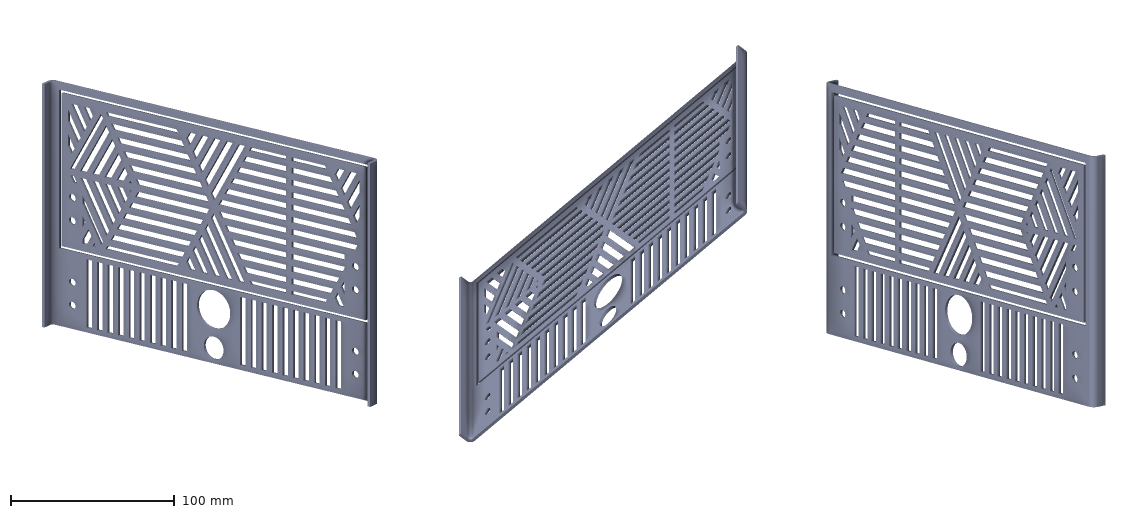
import math

import cadquery as cq

plate_width = 248.0
plate_height = 158.0
flange_depth = 10.0
sheet_thickness = 2.0
bend_inner_radius = 2.0

window_width = 233.9
window_bottom = 50.0
window_top = 153.3
panel_gap = 2.0

screw_hole_diameter = 5.0
screw_hole_x = 107.0
frame_screw_heights = [15.1, 30.0]
panel_screw_heights = [70.0, 85.0]
large_hole_diameter = 25.0
large_hole_height = 35.0
small_hole_diameter = 15.0
small_hole_height = 10.0

slot_pitch = plate_width / 31
rib_width = 4.0
slot_width = slot_pitch - rib_width

vent_count = 10
vent_first_x = 22.0
vent_bottom = 3.0
vent_top = 47.4

middle_rib_height = 101.5
grille_half_width = 110.0
grille_half_height = 44.6
screw_land_x = 99.0
screw_land_depth = 6.5
divider_x = 56.8
web_rib_x = -58.3
outer_rib_x = 112.0
lower_left_rib_x = -58.8

level_slots = range(6)
web_slots = range(6)
crossing_slots = range(5)
corner_slots = range(1, 5)
lower_left_slots = range(3)

UPRIGHT = 0
FALLING = 30
RISING = -30
LEVEL = 90
FAR = 2 * plate_width

half_rib = rib_width / 2
web_rib = web_rib_x * math.cos(math.radians(FALLING))
outer_rib = outer_rib_x * math.cos(math.radians(FALLING))
lower_left_rib = lower_left_rib_x * math.cos(math.radians(RISING))


def block(x_min, x_max, z_min, z_max):
    """Box as thick as the sheet, whose back face lies at y = 0."""
    size = (x_max - x_min, sheet_thickness, z_max - z_min)
    return cq.Workplane("XY").box(*size, centered=False).translate((x_min, -sheet_thickness, z_min))


def round_holes(places, diameter):
    """Cylinders through the sheet at (x, z) places."""
    return cq.Workplane("XZ").pushPoints(places).circle(diameter / 2).extrude(sheet_thickness)


def screw_holes(heights):
    places = [(side * screw_hole_x, height) for side in (-1, 1) for height in heights]
    return round_holes(places, screw_hole_diameter)




def bent_sheet():
    """U-shaped sheet, open at the front, top and bottom."""
    return (
        cq.Workplane("XY")
        .box(plate_width, flange_depth, plate_height, centered=(True, True, False))
        .translate((0, -flange_depth / 2, 0))
        .edges("|Z and >Y")
        .fillet(bend_inner_radius + sheet_thickness)
        .faces("<Y or >Z or <Z")
        .shell(-sheet_thickness)
    )


def make_frame():
    frame = bent_sheet()
    frame = frame.cut(block(-window_width / 2, window_width / 2, window_bottom, window_top))
    for side in (-1, 1):
        for i in range(vent_count):
            x = side * (vent_first_x + i * slot_pitch)
            frame = frame.cut(block(x - slot_width / 2, x + slot_width / 2, vent_bottom, vent_top))
    frame = frame.cut(round_holes([(0, large_hole_height)], large_hole_diameter))
    frame = frame.cut(round_holes([(0, small_hole_height)], small_hole_diameter))
    return frame.cut(screw_holes(frame_screw_heights))




def band(direction, low, high):
    """Long strip between two parallel lines at these distances from the crossing point."""
    return block(low, high, -FAR, FAR).rotate((0, 0, 0), (0, 1, 0), -direction)


def slot_field(direction, first_rib, side, numbers, bounds):
    """Parallel slots, counted from the rib at first_rib to one side of it, cut off by the bounds.

    Each slot leaves half a rib on both sides. Each bound is a band that the slots stay inside.
    """
    strips = []
    for number in numbers:
        near = first_rib + side * (number * slot_pitch + half_rib)
        far = near + side * slot_width
        strips.append(band(direction, min(near, far), max(near, far)).val())
    field = cq.Workplane(cq.Compound.makeCompound(strips))
    for bound in bounds:
        field = field.intersect(bound)
    return field


def left_level_field():
    between_ribs = band(FALLING, web_rib + half_rib, -half_rib)
    return slot_field(LEVEL, 0, 1, level_slots, [between_ribs])


def right_level_field():
    """Level slots between the crossing point and the right outer rib, split by the divider."""
    past_crossing = band(RISING, half_rib, FAR)
    inside_outer_rib = band(FALLING, -FAR, outer_rib - half_rib)
    field = slot_field(LEVEL, 0, 1, level_slots, [past_crossing, inside_outer_rib])
    return field.cut(band(UPRIGHT, divider_x - half_rib, divider_x + half_rib))


def crossing_field():
    """Sloping slots in the triangle above the crossing point."""
    return slot_field(RISING, 0, -1, crossing_slots, [band(FALLING, half_rib, FAR)])


def web_field():
    """Sloping slots between the web's inner rib and the left outer rib."""
    inside_web = band(FALLING, -FAR, web_rib - half_rib)
    inside_outer_rib = band(RISING, -outer_rib + half_rib, FAR)
    above_middle = band(LEVEL, half_rib, FAR)
    bounds = [inside_web, inside_outer_rib, above_middle]
    return slot_field(RISING, web_rib, -1, web_slots, bounds)


def right_corner_field():
    outside_outer_rib = band(FALLING, outer_rib + half_rib, FAR)
    return slot_field(RISING, outer_rib, -1, corner_slots, [outside_outer_rib])


def lower_left_corner_field():
    outside_outer_rib = band(FALLING, -FAR, -outer_rib - half_rib)
    return slot_field(RISING, lower_left_rib, -1, lower_left_slots, [outside_outer_rib])


def grille_outline():
    """Area that holds the pattern: a rectangle without the two screw lands."""
    outline = block(-grille_half_width, grille_half_width, -grille_half_height, grille_half_height)
    outline = outline.cut(block(-FAR, -screw_land_x, -FAR, -screw_land_depth))
    return outline.cut(block(screw_land_x, FAR, -FAR, -screw_land_depth))


def make_panel():
    half_width = window_width / 2 - panel_gap
    panel = block(-half_width, half_width, window_bottom + panel_gap, window_top - panel_gap)
    panel = panel.cut(screw_holes(panel_screw_heights))

    right_corner = right_corner_field()
    fields = [right_corner.mirror("YZ"), lower_left_corner_field()]
    for field in (left_level_field(), right_level_field(), crossing_field(), web_field(), right_corner):
        fields += [field, field.mirror("XY")]
    outline = grille_outline()
    for field in fields:
        panel = panel.cut(field.intersect(outline).translate((0, 0, middle_rib_height)))
    return panel


frame = make_frame()
panel = make_panel()
result = cq.Compound.makeCompound([frame.solids().val(), panel.solids().val()])